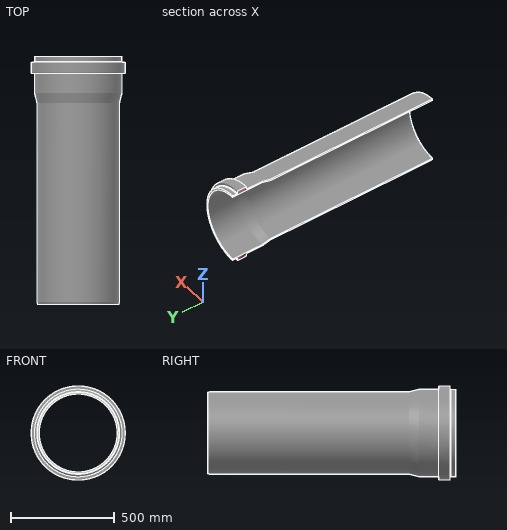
import cadquery as cq
total_length = 1200.0
spigot_end = 0.0
mouth_end = spigot_end + total_length

pipe_radius = 400.0 / 2
pipe_bore_radius = 376.0 / 2
spigot_chamfer_length = 12.0
spigot_chamfer_depth = 3.5

socket_radius = 423.9 / 2
socket_bore_radius = 402.1 / 2
taper_length = 48.0
taper_end = mouth_end - 178.0
taper_start = taper_end - taper_length

bead_radius = 456.0 / 2
bead_end = mouth_end - 28.4
bead_start = mouth_end - 83.5
bead_edge_radius = 4.5

lip_radius = 423.06 / 2
lip_start = mouth_end - 24.5
flare_radius = 427.7 / 2


def revolve_about_y(profile):
    return profile.revolve(360, (0, 0, 0), (0, 1, 0))


def make_outer_body():
    profile = (
        cq.Workplane("XY")
        .moveTo(0, spigot_end)
        .lineTo(pipe_radius - spigot_chamfer_depth, spigot_end)
        .lineTo(pipe_radius, spigot_end + spigot_chamfer_length)
        .lineTo(pipe_radius, taper_start)
        .lineTo(socket_radius, taper_end)
        .lineTo(socket_radius, bead_end)
        .lineTo(flare_radius, bead_end)
        .lineTo(lip_radius, lip_start)
        .lineTo(lip_radius, mouth_end)
        .lineTo(0, mouth_end)
        .close()
    )
    return revolve_about_y(profile)


def make_bead():
    bead_length = bead_end - bead_start
    bead = (
        cq.Workplane("XZ", origin=(0, bead_end, 0))
        .circle(bead_radius)
        .extrude(bead_length)
    )
    return bead.edges().fillet(bead_edge_radius)


def make_bore():
    profile = (
        cq.Workplane("XY")
        .moveTo(0, spigot_end)
        .lineTo(pipe_bore_radius, spigot_end)
        .lineTo(pipe_bore_radius, taper_start)
        .lineTo(socket_bore_radius, taper_end)
        .lineTo(socket_bore_radius, mouth_end)
        .lineTo(0, mouth_end)
        .close()
    )
    return revolve_about_y(profile)


result = make_outer_body().union(make_bead()).cut(make_bore())